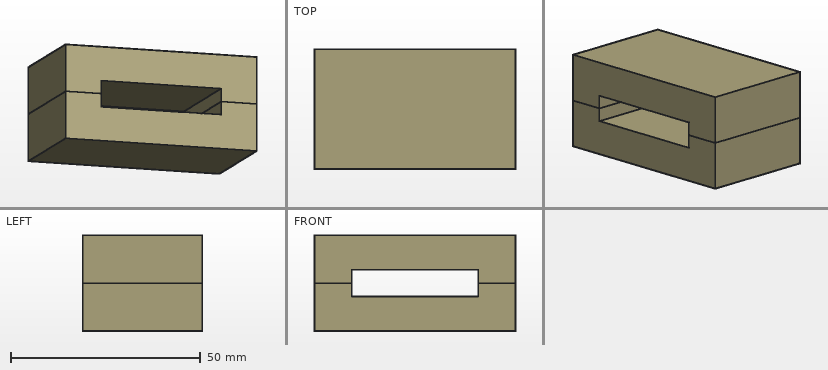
import cadquery as cq

LENGTH = 53.2
DEPTH = 31.7
HEIGHT = 25.4

SLOT_WIDTH = 33.35
SLOT_HEIGHT = 7.0

HALF_HEIGHT = HEIGHT / 2


def make_lower_half():
    """Half block below the parting plane Z = 0, with its half of the slot cut into the top."""
    block = cq.Workplane("XY").box(LENGTH, DEPTH, HALF_HEIGHT).translate((0, 0, -HALF_HEIGHT / 2))
    slot = cq.Workplane("XY").box(SLOT_WIDTH, DEPTH, SLOT_HEIGHT)
    return block.cut(slot)


def make_upper_half(lower):
    """Mirror image of the lower half, resting on the parting plane."""
    return lower.mirror("XY")


lower_half = make_lower_half()
upper_half = make_upper_half(lower_half)

result = cq.Compound.makeCompound([lower_half.val(), upper_half.val()])